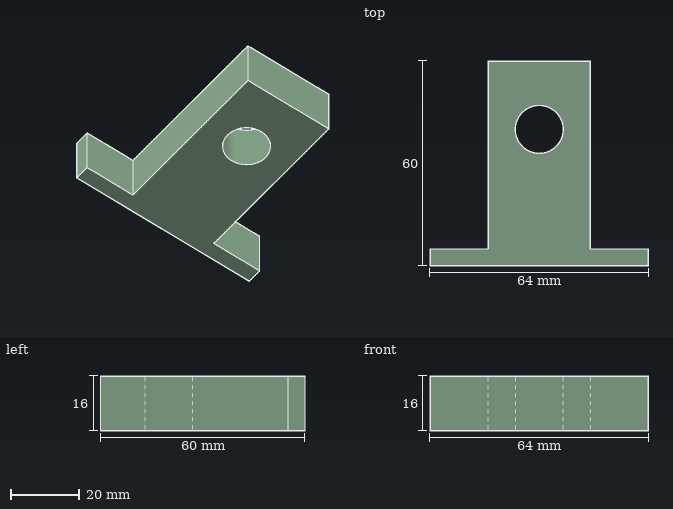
import cadquery as cq

height = 16.0
flange_width = 64.0
flange_thickness = 5.0
stem_width = 30.0
total_depth = 60.0
hole_diameter = 14.0
hole_distance = 40.0


def front_aligned_block(width, depth):
    """Block centred on X, starting at the flange face (Y = 0) and resting on Z = 0."""
    return cq.Workplane("XY").box(width, depth, height, centered=(True, False, False))


def through_hole():
    """Vertical cylinder through the full height of the stem."""
    return (
        cq.Workplane("XY")
        .center(0, hole_distance)
        .circle(hole_diameter / 2)
        .extrude(height)
    )


flange = front_aligned_block(flange_width, flange_thickness)
stem = front_aligned_block(stem_width, total_depth)

result = flange.union(stem).cut(through_hole())